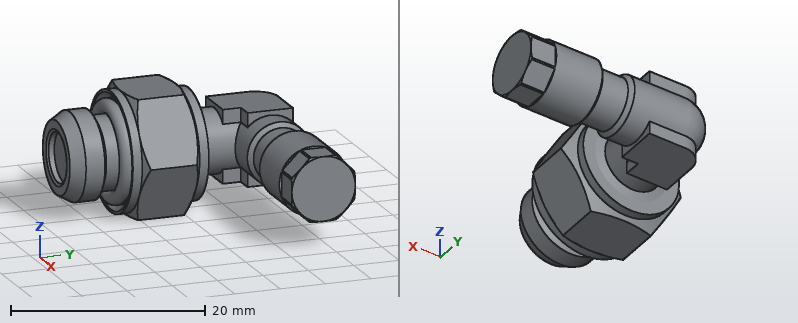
import cadquery as cq
import math


nut_flats = 13.0
overall_length = 27.5
overall_height = 25.65

nut_corner_radius = nut_flats / math.sqrt(3)
arm_end = overall_length - nut_corner_radius

body_radius = 3.5
body_arm_end = 7.02
neck_start = 7.5

pad_thickness = 8.0
pad_half_width = 2.5
pad_leg = 4.48

arm_radius = 3.0
sleeve_radius = 3.75
sleeve_start = 11.0
sleeve_end = 16.97
sleeve_chamfer = 0.25
octagon_flats = 2 * body_radius

stem_end = overall_height - sleeve_radius
shoulder_top = 7.05
collar_top = 7.35
nut_top = 8.35
nut_bottom = 14.88
flange_bottom = 15.9
groove_end = 17.88
thread_end = 20.45

shoulder_radius = 4.5
collar_radius = 6.0
flange_radius = nut_flats / 2
groove_radius = 4.0
thread_radius = 4.81

ring_section_radius = 0.8
ring_outer_radius = groove_radius + 2 * ring_section_radius
recess_mouth_radius = 6.22

mouth_radius = 3.0
bore_radius = 2.7
bore_depth = 0.8

cone_slope = math.tan(math.radians(30))


def revolve_about_x(points):
    """Solid of revolution about X from (x, radius) points."""
    return cq.Workplane("XY").polyline(points).close().revolve(360, (0, 0, 0), (1, 0, 0))


def revolve_about_y(points):
    """Solid of revolution about Y from (radius, distance below the elbow) points."""
    outline = [(radius, -depth) for radius, depth in points]
    return cq.Workplane("XY").polyline(outline).close().revolve(360, (0, 0, 0), (0, 1, 0))


def make_elbow():
    """Spherical corner joined to the bodies of the arm and the stem."""
    corner = cq.Workplane("XY").sphere(body_radius)
    arm_body = revolve_about_x([
        (0, 0),
        (0, body_radius),
        (body_arm_end, body_radius),
        (neck_start, arm_radius),
        (sleeve_end, arm_radius),
        (sleeve_end, 0),
    ])
    stem_body = revolve_about_y([
        (0, 0),
        (body_radius, 0),
        (body_radius, nut_top),
        (0, nut_top),
    ])
    return corner.union(arm_body).union(stem_body)


def make_wrench_pads():
    """L-shaped block whose flat faces stand proud of the elbow at +Z and -Z."""
    w = pad_half_width
    arc_middle = w / math.sqrt(2)
    return (
        cq.Workplane("XY")
        .workplane(offset=-pad_thickness / 2)
        .moveTo(-w, 0)
        .threePointArc((-arc_middle, arc_middle), (0, w))
        .lineTo(pad_leg, w)
        .lineTo(pad_leg, -w)
        .lineTo(w, -w)
        .lineTo(w, -pad_leg)
        .lineTo(-w, -pad_leg)
        .close()
        .extrude(pad_thickness)
    )


def make_sleeve():
    """Round sleeve whose outer end is cut to eight flats with a coned tip."""
    flat_radius = octagon_flats / 2
    tip_cone = (sleeve_radius - flat_radius) * cone_slope
    sleeve = revolve_about_x([
        (sleeve_start, 0),
        (sleeve_start, sleeve_radius - sleeve_chamfer),
        (sleeve_start + sleeve_chamfer, sleeve_radius),
        (sleeve_end, sleeve_radius),
        (sleeve_end, 0),
    ])
    tip = revolve_about_x([
        (sleeve_end, 0),
        (sleeve_end, sleeve_radius),
        (arm_end - tip_cone, sleeve_radius),
        (arm_end, flat_radius),
        (arm_end, 0),
    ])
    octagon = (
        cq.Workplane("YZ")
        .workplane(offset=sleeve_end)
        .polygon(8, octagon_flats, circumscribed=True)
        .extrude(arm_end - sleeve_end)
    )
    return sleeve.union(tip.intersect(octagon))


def make_nut():
    """Hexagon with corners on the X axis, coned at both ends."""
    top_cone = (nut_corner_radius - collar_radius) * cone_slope
    bottom_cone = (nut_corner_radius - flange_radius) * cone_slope
    hexagon = (
        cq.Workplane("XZ")
        .workplane(offset=nut_top)
        .polygon(6, 2 * nut_corner_radius)
        .extrude(nut_bottom - nut_top)
    )
    coned_blank = revolve_about_y([
        (0, nut_top),
        (collar_radius, nut_top),
        (nut_corner_radius, nut_top + top_cone),
        (nut_corner_radius, nut_bottom - bottom_cone),
        (flange_radius, nut_bottom),
        (0, nut_bottom),
    ])
    return hexagon.intersect(coned_blank)


def make_collar():
    """Collar above the nut with a sloped shoulder up to the elbow."""
    return revolve_about_y([
        (0, shoulder_top),
        (body_radius, shoulder_top),
        (shoulder_radius, collar_top),
        (collar_radius, collar_top),
        (collar_radius, nut_top),
        (0, nut_top),
    ])


def make_flange():
    """Flange below the nut, with the seal ring standing in its recess."""
    recess_depth = recess_mouth_radius - ring_outer_radius
    ring_centre = ring_outer_radius - ring_section_radius
    ring_floor = ring_centre + math.sqrt(ring_section_radius**2 - recess_depth**2)
    recess_floor = flange_bottom - recess_depth
    return (
        cq.Workplane("XY")
        .moveTo(0, -nut_bottom)
        .lineTo(flange_radius, -nut_bottom)
        .lineTo(flange_radius, -flange_bottom)
        .lineTo(recess_mouth_radius, -flange_bottom)
        .lineTo(ring_outer_radius, -recess_floor)
        .lineTo(ring_floor, -recess_floor)
        .threePointArc(
            (ring_centre, -flange_bottom - ring_section_radius),
            (groove_radius, -flange_bottom),
        )
        .lineTo(0, -flange_bottom)
        .close()
        .revolve(360, (0, 0, 0), (0, 1, 0))
    )


def make_stem():
    """Grooved thread end with coned edges and a shallow blind bore."""
    thread_start = groove_end + (thread_radius - groove_radius) * cone_slope
    tip_radius = thread_radius - (stem_end - thread_end) * cone_slope
    mouth_cone = (mouth_radius - bore_radius) * cone_slope
    return revolve_about_y([
        (0, nut_bottom),
        (groove_radius, nut_bottom),
        (groove_radius, groove_end),
        (thread_radius, thread_start),
        (thread_radius, thread_end),
        (tip_radius, stem_end),
        (mouth_radius, stem_end),
        (bore_radius, stem_end - mouth_cone),
        (bore_radius, stem_end - bore_depth),
        (0, stem_end - bore_depth),
    ])


result = (
    make_elbow()
    .union(make_wrench_pads())
    .union(make_sleeve())
    .union(make_collar())
    .union(make_nut())
    .union(make_flange())
    .union(make_stem())
)